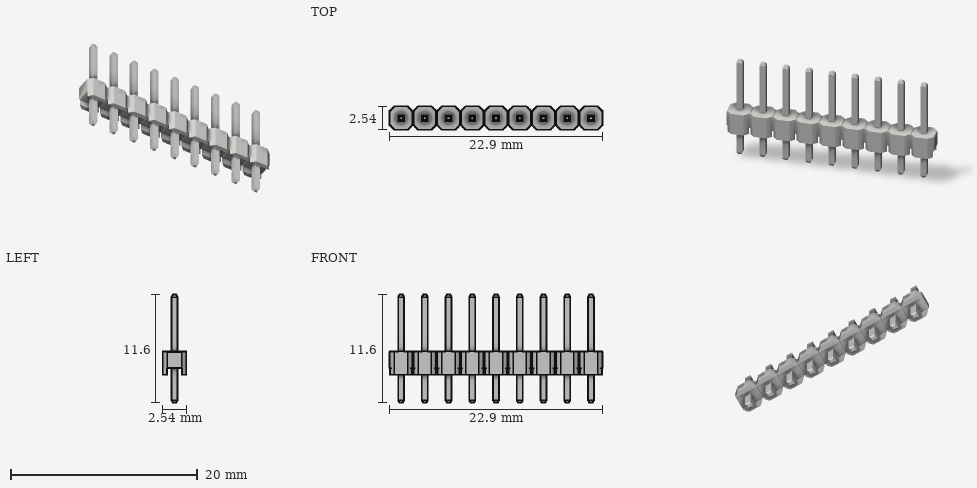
import cadquery as cq

pin_count = 9
row_length = 22.85
pitch = row_length / pin_count

block_length = 2.38
block_depth = pitch
block_height = 2.5
block_chamfer = 0.48
web_depth = block_depth - 2 * block_chamfer
channel_height = 0.69
web_height = block_height - channel_height
web_bevel = (pitch - block_length) / 2

pin_width = 0.66
pin_length = 11.6
pin_tail = 3.0
tip_height = 0.27
tip_width = 0.35

pin_positions = [(i - (pin_count - 1) / 2) * pitch for i in range(pin_count)]


def make_block(x):
    """Octagonal block centred at x, standing on Z = 0."""
    block = cq.Workplane("XY").box(block_length, block_depth, block_height, centered=(True, True, False))
    return block.edges("|Z").chamfer(block_chamfer).translate((x, 0, 0))


def make_web(x):
    """Web of one segment, bevelled above and below where it leaves the block."""
    web = cq.Workplane("XY").box(pitch, web_depth, web_height)
    web = web.edges("|Y").chamfer(web_bevel)
    return web.translate((x, 0, channel_height + web_height / 2))


def make_housing():
    """Blocks joined by the web, with a channel along the underside and square pin holes."""
    channel = cq.Workplane("XY").box(row_length, web_depth, channel_height, centered=(True, True, False))
    pin_holes = (
        cq.Workplane("XY")
        .pushPoints([(x, 0) for x in pin_positions])
        .rect(pin_width, pin_width)
        .extrude(block_height)
    )
    segments = [make_block(x).union(make_web(x)) for x in pin_positions]
    housing = segments[0]
    for segment in segments[1:]:
        housing = housing.union(segment)
    return housing.cut(channel).cut(pin_holes)


def make_tip(base_z, direction):
    """Four-sided taper from the full pin section to the small end face."""
    return (
        cq.Workplane("XY")
        .workplane(offset=base_z)
        .rect(pin_width, pin_width)
        .workplane(offset=direction * tip_height)
        .rect(tip_width, tip_width)
        .loft(ruled=True)
    )


def make_pin(x):
    """Square pin through the housing at x, tapered at both ends."""
    shank_bottom = tip_height - pin_tail
    shank_length = pin_length - 2 * tip_height
    shank = cq.Workplane("XY", origin=(0, 0, shank_bottom)).rect(pin_width, pin_width).extrude(shank_length)
    pin = shank.union(make_tip(shank_bottom, -1)).union(make_tip(shank_bottom + shank_length, 1))
    return pin.translate((x, 0, 0))


housing = make_housing()
pins = [make_pin(x) for x in pin_positions]

result = cq.Compound.makeCompound([housing.val(), *[pin.val() for pin in pins]])